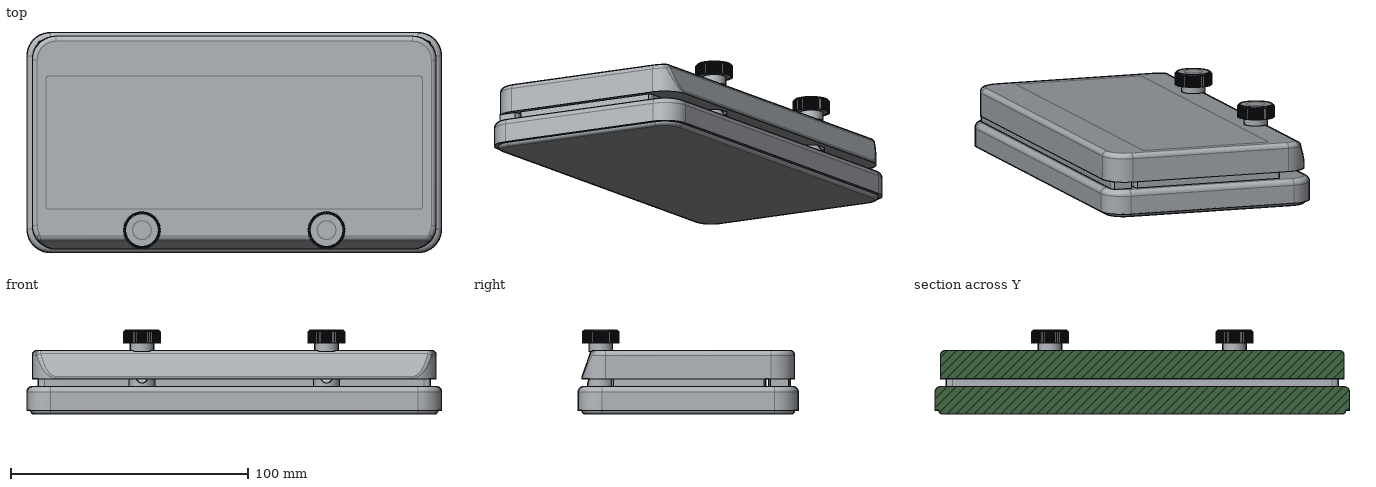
import cadquery as cq
import math

BASE_LENGTH = 175.0
BASE_WIDTH = 93.0
BASE_TOP = 11.7
CORNER_RADIUS = 10.0
BASE_FILLET = 2.5
FOOT_INSET = 1.5
FOOT_HEIGHT = 1.5
FOOT_FILLET = FOOT_HEIGHT

LID_END_INSET = 2.3
LID_SIDE_INSET = 1.5
LID_BOTTOM = 14.9
LID_TOP = 27.0
LIP_HEIGHT = 0.7
LID_FILLET = 2.1
FRONT_SLOPE = 19.0
LID_LENGTH = BASE_LENGTH - 2 * LID_END_INSET
LID_WIDTH = BASE_WIDTH - 2 * LID_SIDE_INSET
LID_FRONT = -LID_WIDTH / 2
LID_CORNER_RADIUS = 10.0

WINDOW_LENGTH = 158.7
WINDOW_WIDTH = 56.2
WINDOW_CORNER_RADIUS = 1.0
WINDOW_THICKNESS = 1.8

BLOCK_LENGTH = 165.5
BLOCK_CORNER_RADIUS = 4.5
BLOCK_END_TRIM = 2.0
FRAME_WIDTH = 65.1
FRAME_CENTER = 0.2
HINGE_WIDTH = 9.3
HINGE_CENTER = 38.5

SCREW_SPACING = 77.9
SCREW_Y = -37.0
BOSS_DIAMETER = 11.0
BOSS_CUT_START = 13.1
STEM_DIAMETER = 10.0
STEM_SINK = 0.5
KNOB_DIAMETER = 15.5
KNOB_BOTTOM = 30.1
KNOB_TOP = 35.5
KNOB_CHAMFER = 0.9
KNURL_COUNT = 72
KNURL_DEPTH = 0.5
SCREW_TIP_DIAMETER = 7.9
SCREW_TIP_LENGTH = 1.8

OVERLAP = 1.8


def rounded_plate(length, width, radius, bottom, top):
    plate = cq.Workplane("XY").workplane(offset=bottom).rect(length, width).extrude(top - bottom)
    return plate.edges("|Z").fillet(radius)


def cylinder(diameter, bottom, top):
    return cq.Workplane("XY").workplane(offset=bottom).circle(diameter / 2).extrude(top - bottom)


def sloped_cutter(y, z):
    """Everything in front of a plane that leans back as it rises through the point (y, z)."""
    rise = LID_TOP + OVERLAP - z
    run = rise * math.tan(math.radians(FRONT_SLOPE))
    front = y - BASE_WIDTH
    outline = [(y, z), (y + run, z + rise), (front, z + rise), (front, z)]
    return cq.Workplane("YZ").polyline(outline).close().extrude(BASE_LENGTH / 2, both=True)


def make_base():
    body = rounded_plate(BASE_LENGTH, BASE_WIDTH, CORNER_RADIUS, FOOT_HEIGHT, BASE_TOP)
    body = body.faces(">Z").edges().fillet(BASE_FILLET)
    foot = rounded_plate(
        BASE_LENGTH - 2 * FOOT_INSET,
        BASE_WIDTH - 2 * FOOT_INSET,
        CORNER_RADIUS - FOOT_INSET,
        0,
        FOOT_HEIGHT + OVERLAP,
    )
    foot = foot.faces("<Z").edges().fillet(FOOT_FILLET)
    return body.union(foot)


def make_block(width, center):
    """Full-length block whose corner arcs run into the flat ends at an angle."""
    length = BLOCK_LENGTH + 2 * BLOCK_END_TRIM
    bottom = BASE_TOP - OVERLAP
    full = rounded_plate(length, width, BLOCK_CORNER_RADIUS, bottom, LID_BOTTOM)
    ends = cq.Workplane("XY").workplane(offset=bottom).rect(BLOCK_LENGTH, width).extrude(LID_BOTTOM - bottom)
    return full.intersect(ends).translate((0, center, 0))


def make_lid():
    lid = rounded_plate(LID_LENGTH, LID_WIDTH, LID_CORNER_RADIUS, LID_BOTTOM, LID_TOP)
    lid = lid.cut(sloped_cutter(LID_FRONT, LID_BOTTOM + LIP_HEIGHT))
    slope = cq.selectors.NearestToPointSelector((0, LID_FRONT, (LID_BOTTOM + LID_TOP) / 2))
    lid = lid.faces(slope).edges("not #Z").fillet(LID_FILLET)
    return lid.faces(">Z").edges().fillet(LID_FILLET)


def make_window():
    return rounded_plate(
        WINDOW_LENGTH, WINDOW_WIDTH, WINDOW_CORNER_RADIUS, LID_TOP - WINDOW_THICKNESS, LID_TOP
    )


def make_boss():
    boss = cylinder(BOSS_DIAMETER, BASE_TOP - OVERLAP, LID_BOTTOM + OVERLAP)
    return boss.cut(sloped_cutter(-BOSS_DIAMETER / 2, BOSS_CUT_START))


def make_knob():
    points = []
    for i in range(2 * KNURL_COUNT):
        radius = KNOB_DIAMETER / 2 - KNURL_DEPTH * (i % 2)
        angle = math.pi * i / KNURL_COUNT
        points.append((radius * math.cos(angle), radius * math.sin(angle)))
    height = KNOB_TOP - KNOB_BOTTOM
    knurled = cq.Workplane("XY").workplane(offset=KNOB_BOTTOM).polyline(points).close().extrude(height)
    blank = cylinder(KNOB_DIAMETER, KNOB_BOTTOM, KNOB_TOP).faces(">Z").chamfer(KNOB_CHAMFER)
    stem = cylinder(STEM_DIAMETER, LID_TOP - STEM_SINK, KNOB_BOTTOM + OVERLAP)
    return knurled.intersect(blank).union(stem)


def make_screw_tip():
    return cylinder(SCREW_TIP_DIAMETER, KNOB_TOP - SCREW_TIP_LENGTH, KNOB_TOP)


def at_screws(body):
    left = body.translate((-SCREW_SPACING / 2, SCREW_Y, 0))
    right = body.translate((SCREW_SPACING / 2, SCREW_Y, 0))
    return left.add(right)


result = make_base().union(make_block(FRAME_WIDTH, FRAME_CENTER))
result = result.union(make_block(HINGE_WIDTH, HINGE_CENTER)).union(make_lid())
result = result.union(at_screws(make_boss()))
result = result.union(at_screws(make_knob()))
for inlay in (make_window(), at_screws(make_screw_tip())):
    result = result.cut(inlay, clean=False).union(inlay, clean=False)